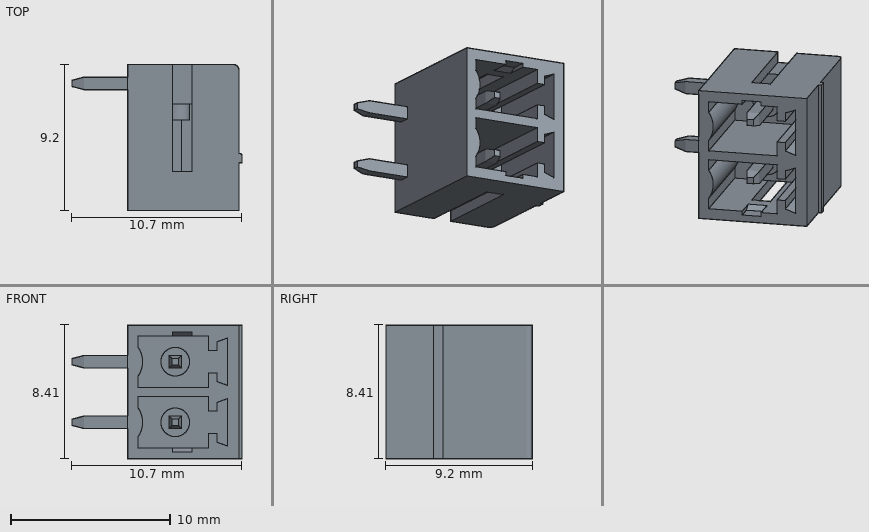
import cadquery as cq


POSITIONS = 2
PITCH = 3.81
END_MARGIN = 2.3
BODY_X = 7.0
BODY_Y = 9.2
BODY_Z = (POSITIONS - 1) * PITCH + 2 * END_MARGIN
CORNER_RADIUS = 0.37
PIN_HEIGHTS = [END_MARGIN + i * PITCH for i in range(POSITIONS)]

RIB_Y = 3.0
RIB_WIDTH = 0.6
RIB_HEIGHT = 0.2
RIB_RADIUS = 0.15

CAVITY_DEPTH = 6.7
END_WALL = 0.69
CAVITY_HALF_HEIGHT = END_MARGIN - END_WALL
CAVITY_LEFT = 0.65
CAVITY_RIGHT = 5.08
BULGE_HALF_HEIGHT = 0.92
BULGE_HEIGHT = 0.29
NECK_HALF_HEIGHT = 0.7
DOVETAIL_LEFT = 5.61
DOVETAIL_RIGHT = 6.28
DOVETAIL_HALF_HEIGHT_LEFT = 1.25
DOVETAIL_HALF_HEIGHT_RIGHT = 1.49

SLOT_LEFT = 2.82
SLOT_WIDTH = 1.21
SLOT_START_Y = 2.47
NOTCH_DEPTH = 0.25
NOTCH_FLAT = 1.05
NOTCH_LENGTH = 1.55

CONTACT_X = 2.99
PIN_SIZE = 0.8
TIP_SIZE = 0.4
TAIL_INSET = 1.2
TAIL_Y = BODY_Y - TAIL_INSET
TAIL_LENGTH = 3.5
TAIL_TAPER = 0.76
CONTACT_TIP_Y = 1.4
CONTACT_TAPER = 0.76
BOSS_RADIUS = 0.9
BOSS_LENGTH = 1.0


def make_housing():
    body = cq.Workplane("XY").box(BODY_X, BODY_Y, BODY_Z, centered=False)
    body = body.edges("|Z and >X and >Y").fillet(CORNER_RADIUS)
    rib = (
        cq.Workplane("XY")
        .box(2 * RIB_HEIGHT, RIB_WIDTH, BODY_Z, centered=False)
        .edges("|Z and >X and >Y")
        .fillet(RIB_RADIUS)
        .translate((BODY_X - RIB_HEIGHT, RIB_Y, 0))
    )
    return body.union(rib)


def make_cavity(pin_z):
    """Keyed opening: a bulge on its -X side and a dovetail on its +X side."""
    upper_right = [
        (CAVITY_RIGHT, CAVITY_HALF_HEIGHT),
        (CAVITY_RIGHT, NECK_HALF_HEIGHT),
        (DOVETAIL_LEFT, NECK_HALF_HEIGHT),
        (DOVETAIL_LEFT, DOVETAIL_HALF_HEIGHT_LEFT),
        (DOVETAIL_RIGHT, DOVETAIL_HALF_HEIGHT_RIGHT),
    ]
    lower_right = [(x, -z) for x, z in reversed(upper_right)]
    outline = (
        cq.Workplane("XZ", origin=(0, 0, pin_z))
        .moveTo(CAVITY_LEFT, BULGE_HALF_HEIGHT)
        .lineTo(CAVITY_LEFT, CAVITY_HALF_HEIGHT)
    )
    for x, z in upper_right + lower_right:
        outline = outline.lineTo(x, z)
    return (
        outline
        .lineTo(CAVITY_LEFT, -CAVITY_HALF_HEIGHT)
        .lineTo(CAVITY_LEFT, -BULGE_HALF_HEIGHT)
        .threePointArc((CAVITY_LEFT + BULGE_HEIGHT, 0), (CAVITY_LEFT, BULGE_HALF_HEIGHT))
        .close()
        .extrude(-CAVITY_DEPTH)
    )


def make_bottom_wall_cuts():
    """Latch slot open to the back, and a ramped notch at the mouth, in the -Z end wall."""
    slot = (
        cq.Workplane("XY")
        .box(SLOT_WIDTH, BODY_Y - SLOT_START_Y, END_WALL, centered=False)
        .translate((SLOT_LEFT, SLOT_START_Y, 0))
    )
    notch = (
        cq.Workplane("YZ", origin=(SLOT_LEFT, 0, 0))
        .moveTo(0, END_WALL)
        .lineTo(0, END_WALL - NOTCH_DEPTH)
        .lineTo(NOTCH_FLAT, END_WALL - NOTCH_DEPTH)
        .lineTo(NOTCH_LENGTH, END_WALL)
        .close()
        .extrude(SLOT_WIDTH)
    )
    return slot.union(notch)


def make_pin(start_plane, length, taper):
    """Square pin growing along the plane normal, narrowing to a blunt tip."""
    shank = cq.Workplane(start_plane).rect(PIN_SIZE, PIN_SIZE).extrude(length - taper)
    tip = (
        cq.Workplane(start_plane)
        .workplane(offset=length - taper)
        .rect(PIN_SIZE, PIN_SIZE)
        .workplane(offset=taper)
        .rect(TIP_SIZE, TIP_SIZE)
        .loft(combine=True)
    )
    return shank.union(tip)


def make_contact(pin_z):
    """Right-angle contact with the round boss around its base inside the cavity."""
    tail_plane = cq.Plane(origin=(CONTACT_X, TAIL_Y, pin_z), xDir=(0, 1, 0), normal=(-1, 0, 0))
    tail = make_pin(tail_plane, CONTACT_X + TAIL_LENGTH, TAIL_TAPER)
    blade_plane = cq.Plane(origin=(CONTACT_X, TAIL_Y, pin_z), xDir=(1, 0, 0), normal=(0, -1, 0))
    blade = make_pin(blade_plane, TAIL_Y - CONTACT_TIP_Y, CONTACT_TAPER)
    boss = (
        cq.Workplane("XZ", origin=(CONTACT_X, TAIL_Y, pin_z))
        .circle(BOSS_RADIUS)
        .extrude(TAIL_Y - CAVITY_DEPTH + BOSS_LENGTH)
    )
    return tail.union(blade).union(boss)


result = make_housing()
for height in PIN_HEIGHTS:
    result = result.cut(make_cavity(height))

bottom_cuts = make_bottom_wall_cuts()
top_cuts = bottom_cuts.mirror("XY", (0, 0, BODY_Z / 2))
result = result.cut(bottom_cuts).cut(top_cuts)

for height in PIN_HEIGHTS:
    result = result.union(make_contact(height))